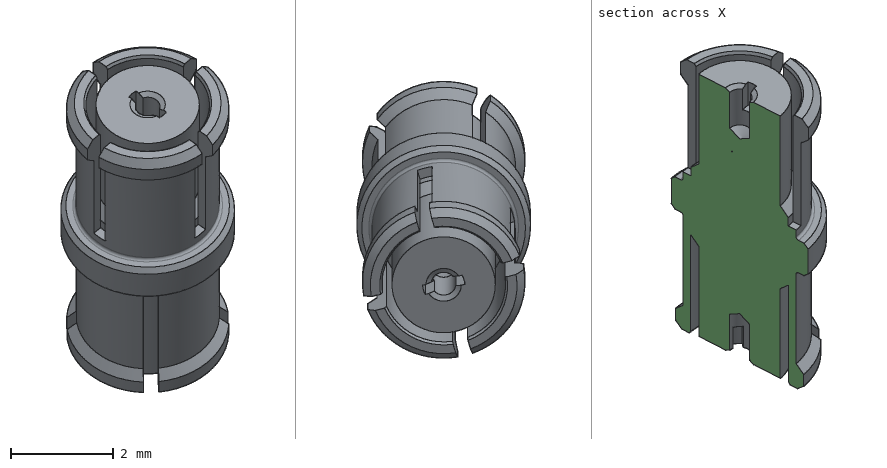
import cadquery as cq
import math

half_length = 6.96 / 2

sleeve_radius = 1.405
bore_radius = 1.21
mouth_radius = 1.25
mouth_depth = 0.06

head_radius = 1.59
head_tip_radius = 1.435
head_chamfer_height = 0.15
head_rim_height = 0.315
head_back_height = head_radius - sleeve_radius

collar_radius = 1.7
collar_half_width = 0.43
collar_chamfer = 0.1
collar_root_fillet = 0.06

core_radius = 1.01
core_recess = 0.04
ramp_top = 1.09
ramp_bottom = ramp_top - (bore_radius - core_radius)

slot_count = 4
slot_width = 0.3
slot_floor = 0.67
end_twist = 180 / slot_count

socket_radius = 0.24
socket_mouth_radius = 0.345
socket_mouth_depth = 0.06
socket_depth = 1.0
socket_tip_angle = 118
key_length = 0.825
key_width = 0.2
key_depth = 0.6


def revolve_profile(profile):
    """Turn a closed (radius, height) profile on XZ about the Z axis."""
    return profile.close().revolve(360, (0, 0, 0), (0, 1, 0))


def make_body():
    """Solid of revolution with equal ends: sleeves, heads, collar and core."""
    core_face = half_length - core_recess
    rim_top = half_length - head_chamfer_height
    rim_bottom = rim_top - head_rim_height
    upper_outline = [
        (0, core_face),
        (core_radius, core_face),
        (core_radius, ramp_top),
        (bore_radius, ramp_bottom),
        (bore_radius, half_length - mouth_depth),
        (mouth_radius, half_length),
        (head_tip_radius, half_length),
        (head_radius, rim_top),
        (head_radius, rim_bottom),
        (sleeve_radius, rim_bottom - head_back_height),
        (sleeve_radius, collar_half_width),
        (collar_radius - collar_chamfer, collar_half_width),
        (collar_radius, collar_half_width - collar_chamfer),
    ]
    lower_outline = [(radius, -height) for radius, height in reversed(upper_outline)]
    body = revolve_profile(cq.Workplane("XZ").polyline(upper_outline + lower_outline))
    root_zone = cq.selectors.BoxSelector(
        (-collar_radius, -collar_radius, -collar_half_width - collar_root_fillet),
        (collar_radius, collar_radius, collar_half_width + collar_root_fillet),
        boundingbox=True,
    )
    root_edges = body.edges(root_zone).edges(cq.selectors.RadiusNthSelector(0))
    return root_edges.fillet(collar_root_fillet)


def make_slots():
    """Radial slot cutters that split the sleeve wall into spring fingers."""
    slot_height = half_length - slot_floor
    blades = cq.Workplane("XY")
    for index in range(slot_count):
        blade = (
            cq.Workplane("XY")
            .workplane(offset=slot_floor)
            .center(collar_radius / 2, 0)
            .rect(collar_radius, slot_width)
            .extrude(slot_height)
            .rotate((0, 0, 0), (0, 0, 1), index * 360 / slot_count)
        )
        blades = blades.union(blade)
    core_clearance = cq.Workplane("XY").circle(bore_radius).extrude(half_length)
    return blades.cut(core_clearance)


def make_socket():
    """Cutter for the blind socket with a flared mouth, drill tip and two key slots."""
    face = half_length - core_recess
    bottom = face - socket_depth
    tip_depth = socket_radius / math.tan(math.radians(socket_tip_angle / 2))
    bore = revolve_profile(
        cq.Workplane("XZ")
        .moveTo(0, bottom - tip_depth)
        .lineTo(socket_radius, bottom)
        .lineTo(socket_radius, face - socket_mouth_depth)
        .lineTo(socket_mouth_radius, face)
        .lineTo(0, face)
    )
    key_floor = cq.Workplane("XY").workplane(offset=face - key_depth)
    key = key_floor.rect(key_length, key_width).extrude(key_depth)
    key_ends = cq.Workplane("XY").circle(key_length / 2).extrude(half_length)
    return bore.union(key.intersect(key_ends))


body = make_body()
end_cuts = make_slots().union(make_socket())

lower_end_cuts = end_cuts.mirror("XY").rotate((0, 0, 0), (0, 0, 1), end_twist)

result = body.cut(end_cuts).cut(lower_end_cuts)